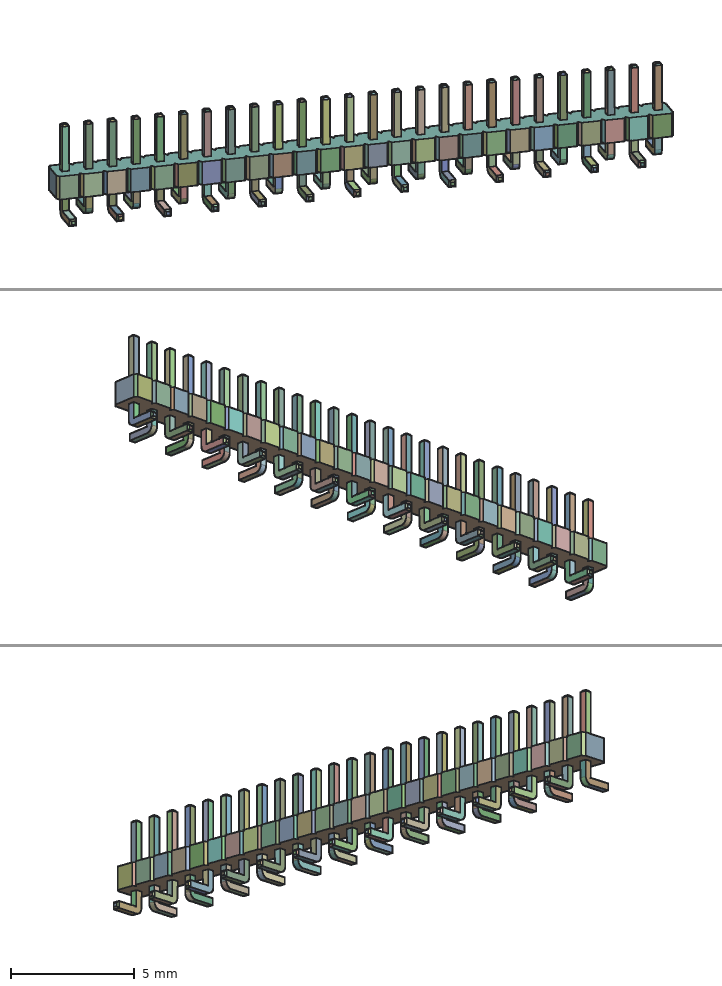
import cadquery as cq

strip_length = 26.0
pin_count = 26
pitch = strip_length / pin_count

body_width = 1.35
body_height = pitch
body_bottom = pitch
corner_depth = 0.15 * pitch
corner_length = 0.1 * pitch

total_height = 4 * pitch
feet_span = 2.5
pin_side = 0.3 * pitch
tip_chamfer = 0.073
bend_outer_radius = pin_side


def body_cell(y_center):
    """One cell of the body: a box with its four vertical corners cut off."""
    half_width = body_width / 2
    half_length = pitch / 2
    flat_width = half_width - corner_depth
    flat_length = half_length - corner_length
    outline = [
        (flat_width, -half_length),
        (half_width, -flat_length),
        (half_width, flat_length),
        (flat_width, half_length),
        (-flat_width, half_length),
        (-half_width, flat_length),
        (-half_width, -flat_length),
        (-flat_width, -half_length),
    ]
    return (
        cq.Workplane("XY", origin=(0, y_center, body_bottom))
        .polyline(outline)
        .close()
        .extrude(body_height)
    )


def bent_pin():
    """An L-shaped pin at Y = 0 with its foot toward +X and both ends tapered."""
    half_side = pin_side / 2
    return (
        cq.Workplane("XZ", origin=(0, half_side, 0))
        .moveTo(-half_side, total_height)
        .lineTo(-half_side, bend_outer_radius)
        .radiusArc((bend_outer_radius - half_side, 0), -bend_outer_radius)
        .lineTo(feet_span / 2, 0)
        .lineTo(feet_span / 2, pin_side)
        .lineTo(half_side, pin_side)
        .lineTo(half_side, total_height)
        .close()
        .extrude(pin_side)
        .faces(">Z or >X")
        .chamfer(tip_chamfer)
    )


right_pin = bent_pin()
left_pin = right_pin.rotate((0, 0, 0), (0, 0, 1), 180)

result = cq.Workplane("XY")
for index in range(pin_count):
    y_center = (index + 0.5) * pitch - strip_length / 2
    pin = right_pin if index % 2 == 0 else left_pin
    result = result.union(body_cell(y_center)).union(pin.translate((0, y_center, 0)))